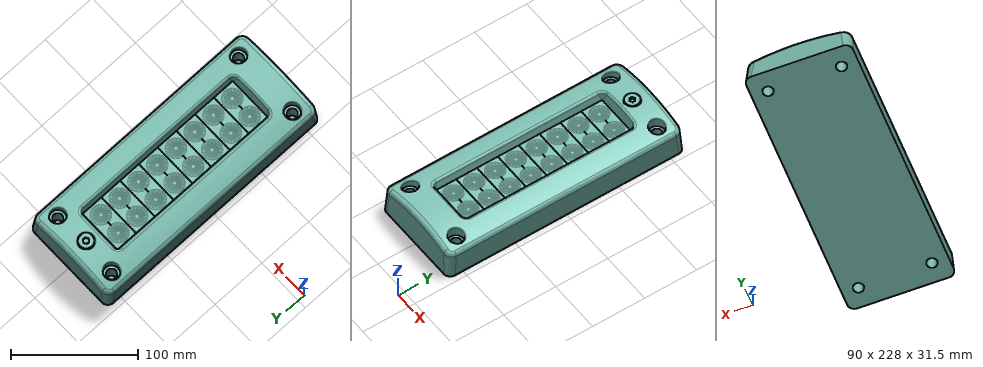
import cadquery as cq
import math

length = 228.0
width = 90.0
height = 31.5
side_draft = 1.5
end_draft = 1.4
base_corner_radius = 6.2
corner_radius_growth = 1.5
dome_radius = 134.5
top_edge_radius = 4.0

lens_pitch = 20.0
rows = 8
columns = 2
floor_width = columns * lens_pitch
floor_length = rows * lens_pitch
floor_height = 21.7
wall_angle = 19.0
wall_height = 10.0
floor_corner_radius = 0.2
upper_corner_radius = 6.8
window_rim_radius = 2.0

facets = 38
lens_diameter = 16.9
lens_centre_diameter = 3.5
lens_depth = 0.5
seam_width = 0.11
seam_depth = 0.11

hole_diameter = 9.0
counterbore_diameter = 14.0
hole_spacing_x = 62.0
hole_spacing_y = 193.3
counterbore_floor = 19.5
counterbore_rim_radius = 0.57

screw_y = 95.0
screw_diameter = 13.0
screw_top = height
screw_gap_depth = 2.3
socket_across_flats = 4.8
socket_depth = 2.3

selection_margin = 0.2


def tapered_block(bottom, top):
    """Ruled solid between two rounded rectangles, each (size x, size y, corner radius, z)."""
    sections = [
        cq.Sketch().rect(size_x, size_y).vertices().fillet(radius).moved(cq.Location(cq.Vector(0, 0, z)))
        for size_x, size_y, radius, z in (bottom, top)
    ]
    return cq.Workplane("XY").placeSketch(*sections).loft(ruled=True)


def make_housing():
    block = tapered_block(
        (width, length, base_corner_radius, 0),
        (
            width - 2 * side_draft,
            length - 2 * end_draft,
            base_corner_radius + corner_radius_growth,
            height,
        ),
    )
    dome = (
        cq.Workplane("XZ", origin=(0, length, height - dome_radius))
        .circle(dome_radius)
        .extrude(2 * length)
    )
    return block.intersect(dome).faces(">Z").edges().fillet(top_edge_radius)


def round_rim(body, size_x, size_y, centre, floor, radius):
    """Round the edges where an opening breaks the dome: those that lie wholly above its floor."""
    x, y = centre
    rim = cq.selectors.BoxSelector(
        (x - size_x / 2, y - size_y / 2, floor + selection_margin),
        (x + size_x / 2, y + size_y / 2, height + selection_margin),
        boundingbox=True,
    )
    return body.edges(rim).fillet(radius)


def cut_window(body):
    spread = wall_height * math.tan(math.radians(wall_angle))
    dish = tapered_block(
        (floor_width, floor_length, floor_corner_radius, floor_height),
        (
            floor_width + 2 * spread,
            floor_length + 2 * spread,
            upper_corner_radius,
            floor_height + wall_height,
        ),
    )
    return round_rim(
        body.cut(dish),
        floor_width + 2 * spread,
        floor_length + 2 * spread,
        (0, 0),
        floor_height,
        window_rim_radius,
    )


def sink_counterbore(body, centre, floor):
    recess = cq.Workplane("XY", origin=(*centre, floor)).circle(counterbore_diameter / 2).extrude(height)
    reach = counterbore_diameter + 2 * selection_margin
    return round_rim(body.cut(recess), reach, reach, centre, floor, counterbore_rim_radius)


def cut_mounting_holes(body):
    for x in (-hole_spacing_x / 2, hole_spacing_x / 2):
        for y in (-hole_spacing_y / 2, hole_spacing_y / 2):
            shank = cq.Workplane("XY", origin=(x, y, 0)).circle(hole_diameter / 2).extrude(height)
            body = sink_counterbore(body.cut(shank), (x, y), counterbore_floor)
    return body


def fit_screw(body):
    gap_floor = screw_top - screw_gap_depth
    body = sink_counterbore(body, (0, screw_y), gap_floor)
    head = cq.Workplane("XY", origin=(0, screw_y, gap_floor)).circle(screw_diameter / 2).extrude(screw_gap_depth)
    socket = (
        cq.Workplane("XY", origin=(0, screw_y, screw_top - socket_depth))
        .polygon(6, socket_across_flats, circumscribed=True)
        .extrude(height)
    )
    return body.union(head).cut(socket)


def cut_lenses(body):
    lens = (
        cq.Workplane("XY", origin=(0, 0, floor_height))
        .polygon(facets, lens_diameter)
        .workplane(offset=-lens_depth)
        .polygon(facets, lens_centre_diameter)
        .loft(ruled=True)
    )
    centres = cq.Workplane("XY").rarray(lens_pitch, lens_pitch, columns, rows)
    return body.cut(centres.eachpoint(lens.val()))


def cut_seams(body, count, seam_length):
    """Fine grooves across the window floor, one lens pitch apart."""
    seams = (
        cq.Workplane("XY", origin=(0, 0, floor_height))
        .rarray(2.3, lens_pitch, 1, count)
        .rect(seam_length, seam_width)
        .extrude(-seam_depth)
    )
    return body.cut(seams)


result = make_housing()
result = cut_window(result)
result = cut_mounting_holes(result)
result = fit_screw(result)
result = cut_lenses(result)
result = cut_seams(result, rows - 1, floor_width)
result = cut_seams(result, rows, lens_pitch - lens_diameter)